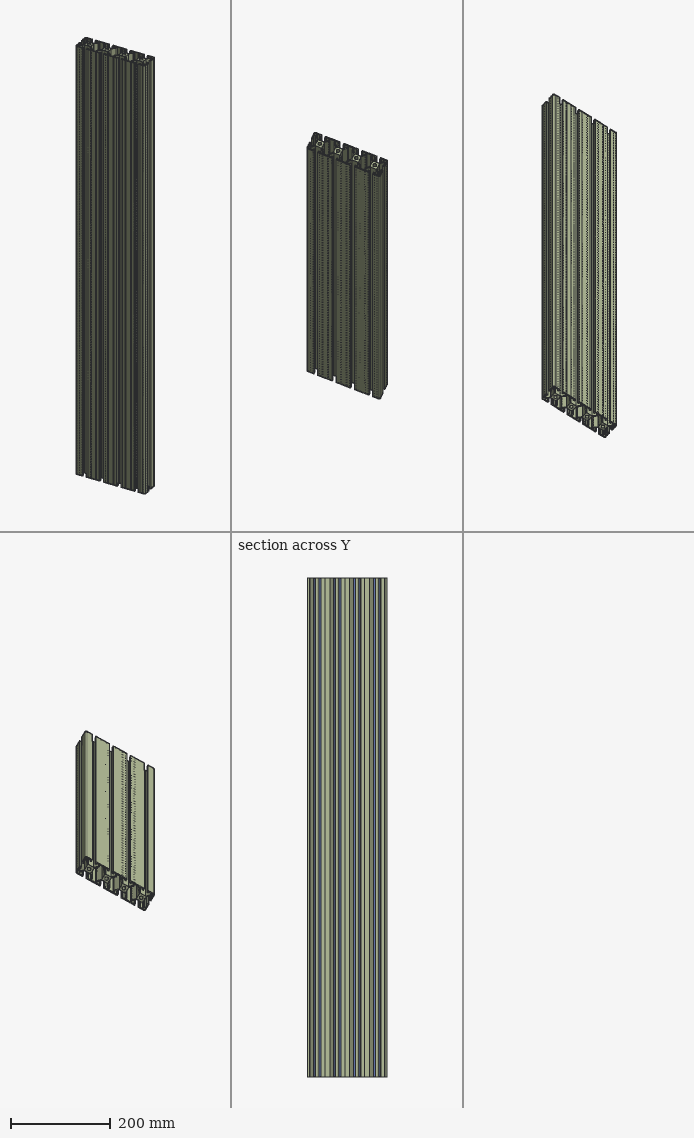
import cadquery as cq
import math


cell = 40.0
cell_count = 4
length = 1000.0
width = cell * cell_count
half_cell = cell / 2
corner_radius = 3.0

bore_diameter = 6.8
core_half = 7.5

corner_bore_diameter = 5.0
corner_bore_inset = 4.0

skin = 2.25
web = 2.1
middle_web_extra = 0.5
undercut_top = half_cell - skin
web_offset = web / 2 * math.sqrt(2)

slot_opening = 8.2
lip_depth = 4.5
lip_width = 2.95
slot_half_width = 12.75

chamber_neck = 10.0

cell_centers = [(i - (cell_count - 1) / 2) * cell for i in range(cell_count)]
chamber_centers = [(a + b) / 2 for a, b in zip(cell_centers, cell_centers[1:])]


def mirrored_x(points):
    """Complete a right-hand half outline with its mirror image in X."""
    return points + [(-x, y) for x, y in reversed(points)]


def extrude_outline(points):
    return cq.Workplane("XY").polyline(points).close().extrude(length)


def make_body():
    body = cq.Workplane("XY").rect(width, cell).extrude(length)
    return body.edges("|Z").fillet(corner_radius)


def make_slot():
    """T-slot of a cell centred on the origin, opening toward +Y."""
    opening_half = slot_opening / 2
    undercut_start = opening_half + lip_width
    lip_bottom = half_cell - lip_depth
    right_half = [
        (opening_half, half_cell),
        (opening_half, lip_bottom),
        (undercut_start, lip_bottom),
        (undercut_start, undercut_top),
        (slot_half_width, undercut_top),
        (slot_half_width, slot_half_width + web_offset),
        (core_half - web_offset, core_half),
    ]
    return extrude_outline(mirrored_x(right_half))


def make_chamber(web_extra):
    """Hollow between two neighbouring cores, centred on the origin."""
    half_width = half_cell - core_half
    neck_half = chamber_neck / 2
    shoulder = core_half - web_offset - web_extra * math.sqrt(2)
    knee = shoulder + half_width - neck_half
    upper = mirrored_x([(half_width, shoulder), (neck_half, knee), (neck_half, undercut_top)])
    lower = [(x, -y) for x, y in reversed(upper)]
    return extrude_outline(upper + lower)


def make_bores(points, diameter):
    return cq.Workplane("XY").pushPoints(points).circle(diameter / 2).extrude(length)


def cut_slots(body):
    """Slots on both long faces of every cell, and on the two narrow end faces."""
    placements = [(x, turn) for x in cell_centers for turn in (0, 180)]
    placements += [(cell_centers[0], 90), (cell_centers[-1], -90)]
    slot = make_slot()
    for x, turn in placements:
        body = body.cut(slot.rotate((0, 0, 0), (0, 0, 1), turn).translate((x, 0, 0)))
    return body


def cut_chambers(body):
    middle = len(chamber_centers) // 2
    for i, x in enumerate(chamber_centers):
        chamber = make_chamber(middle_web_extra if i == middle else 0)
        body = body.cut(chamber.translate((x, 0, 0)))
    return body


def cut_bores(body):
    corner_x = width / 2 - corner_bore_inset
    corner_y = half_cell - corner_bore_inset
    corners = [(sx * corner_x, sy * corner_y) for sx in (-1, 1) for sy in (-1, 1)]
    body = body.cut(make_bores([(x, 0) for x in cell_centers], bore_diameter))
    return body.cut(make_bores(corners, corner_bore_diameter))


result = make_body()
result = cut_slots(result)
result = cut_chambers(result)
result = cut_bores(result)